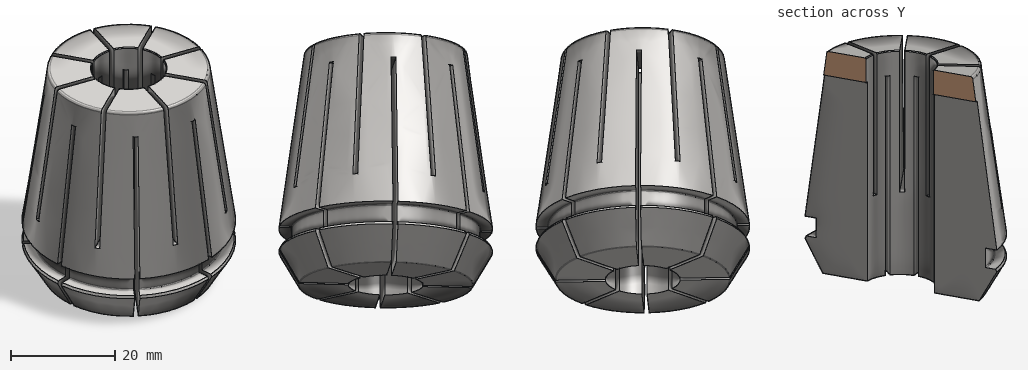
import cadquery as cq
import math

height = 46.0
outer_diameter = 41.0
bore_diameter = 14.3
outer_radius = outer_diameter / 2
bore_radius = bore_diameter / 2

taper_base = 11.1
taper_half_angle = 8.0
top_edge_round = 0.55
bore_mouth_chamfer = 0.2

groove_base = 7.1
groove_radius = 18.1
groove_corner_round = 0.2
rim_bevel_width = 0.28
nose_height = 6.6
nose_half_angle = 30.0
nose_edge_round = 0.2

slots_per_set = 8
slot_pitch = 360 / slots_per_set
slot_width = 0.95
lower_slot_top = 40.9
upper_slot_base = 16.97


def tapered_radius(axial_distance, half_angle):
    """Radius left after a cone narrows from the outer radius over an axial distance."""
    return outer_radius - axial_distance * math.tan(math.radians(half_angle))


def make_body():
    """Solid of revolution with the nose, groove and taper, before slotting."""
    nose_end_radius = tapered_radius(nose_height, nose_half_angle)
    top_radius = tapered_radius(height - taper_base, taper_half_angle)
    profile = (
        cq.Workplane("XZ")
        .moveTo(bore_radius, 0)
        .lineTo(nose_end_radius, 0)
        .lineTo(outer_radius, nose_height)
        .lineTo(outer_radius - rim_bevel_width, groove_base)
        .lineTo(groove_radius + groove_corner_round, groove_base)
        .radiusArc((groove_radius, groove_base + groove_corner_round), groove_corner_round)
        .lineTo(groove_radius, taper_base - groove_corner_round)
        .radiusArc((groove_radius + groove_corner_round, taper_base), groove_corner_round)
        .lineTo(outer_radius, taper_base)
        .lineTo(top_radius, height)
        .lineTo(bore_radius, height)
        .close()
    )
    body = profile.revolve(360, (0, 0, 0), (0, 1, 0))
    outermost_edge = cq.selectors.RadiusNthSelector(-1)
    innermost_edge = cq.selectors.RadiusNthSelector(0)
    body = body.faces(">Z").edges(outermost_edge).fillet(top_edge_round)
    body = body.faces("<Z").edges(outermost_edge).fillet(nose_edge_round)
    return body.faces(">Z").edges(innermost_edge).chamfer(bore_mouth_chamfer)


def make_slot_set(base, top, start_angle):
    """Radial blades from the axis outward, evenly spaced around Z."""
    blade = cq.Workplane("XY").box(
        outer_diameter, slot_width, top - base, centered=(False, True, False)
    ).translate((0, 0, base))
    blades = cq.Workplane("XY")
    for index in range(slots_per_set):
        blades = blades.add(blade.rotate((0, 0, 0), (0, 0, 1), start_angle + index * slot_pitch))
    return blades.combine()


lower_slots = make_slot_set(0, lower_slot_top, 0)
upper_slots = make_slot_set(upper_slot_base, height, slot_pitch / 2)
result = make_body().cut(lower_slots).cut(upper_slots)